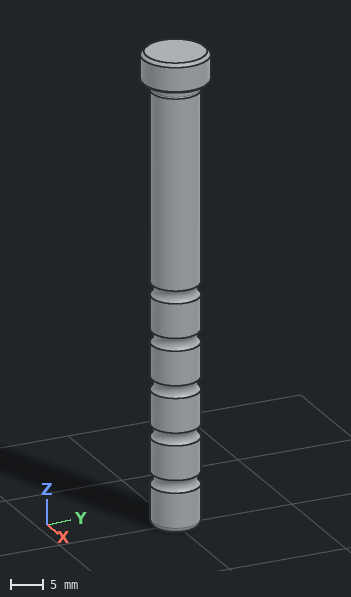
import cadquery as cq
import math

total_length = 80.0
head_diameter = 11.0
head_height = 5.0
head_top_chamfer = 0.6
head_underside_chamfer = 0.3

shank_diameter = 8.0
tip_fillet = 1.0

neck_diameter = 7.5
neck_height = 1.5

groove_count = 5
groove_pitch = 8.0
groove_width = 2.2
groove_depth = 0.5
first_groove_height = 8.0

head_base = total_length - head_height
neck_base = head_base - neck_height
shank_radius = shank_diameter / 2


def make_shank():
    """Straight shank with a rounded tip."""
    shank = cq.Workplane("XY").circle(shank_radius).extrude(neck_base)
    return shank.faces("<Z").edges().fillet(tip_fillet)


def make_neck():
    """Reduced cylinder under the head, flaring in a concave quarter arc to meet the shank rim."""
    neck_radius = neck_diameter / 2
    flare_radius = shank_radius - neck_radius
    arc_offset = flare_radius * (1 - math.sqrt(0.5))
    return (
        cq.Workplane("XZ")
        .moveTo(0, neck_base)
        .lineTo(shank_radius, neck_base)
        .threePointArc(
            (neck_radius + arc_offset, neck_base + arc_offset),
            (neck_radius, neck_base + flare_radius),
        )
        .lineTo(neck_radius, head_base)
        .lineTo(0, head_base)
        .close()
        .revolve(360, (0, 0, 0), (0, 1, 0))
    )


def make_head():
    """Cylindrical head chamfered on both rims."""
    head = cq.Workplane("XY").workplane(offset=head_base).circle(head_diameter / 2).extrude(head_height)
    head = head.faces(">Z").edges().chamfer(head_top_chamfer)
    return head.faces("<Z").edges().chamfer(head_underside_chamfer)


def make_groove(center_height):
    """Ring to remove, its inner side an arc and its outer side clear of the shank."""
    bottom = center_height - groove_width / 2
    top = center_height + groove_width / 2
    outer_radius = shank_radius + groove_depth
    return (
        cq.Workplane("XZ")
        .moveTo(shank_radius, bottom)
        .threePointArc((shank_radius - groove_depth, center_height), (shank_radius, top))
        .lineTo(outer_radius, top)
        .lineTo(outer_radius, bottom)
        .close()
        .revolve(360, (0, 0, 0), (0, 1, 0))
    )


result = make_shank().union(make_neck()).union(make_head())
for index in range(groove_count):
    result = result.cut(make_groove(first_groove_height + index * groove_pitch))